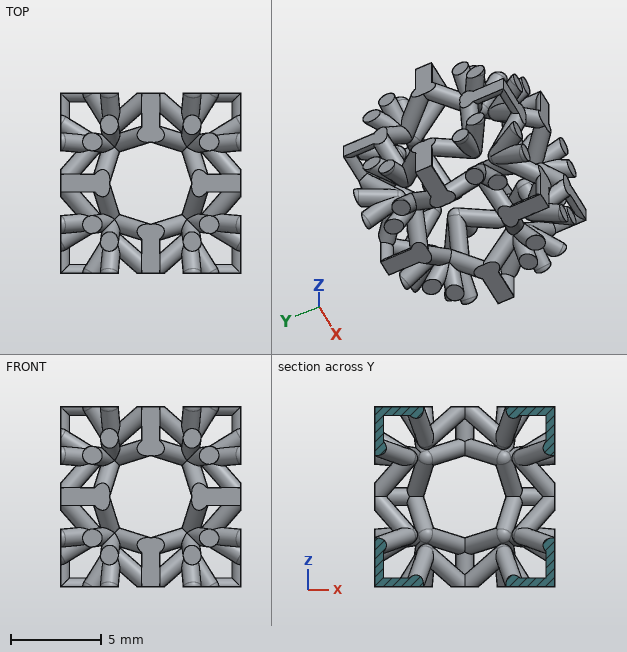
import cadquery as cq

cell_size = 10.0
strut_diameter = 1.0

half_cell = cell_size / 2
strut_radius = strut_diameter / 2

face_joint_offset = 2.80
inner_joint_side = 2.13
inner_joint_height = 3.12
stub_end_near = 2.30
stub_end_far = 3.28

SIGNS = (1, -1)
AXES = (0, 1, 2)
FACE_DIRECTIONS = ((1, 0), (-1, 0), (0, 1), (0, -1))


def ball(center):
    """Round joint of strut size."""
    return cq.Workplane("XY").sphere(strut_radius).translate(center).val()


def strut(start, end):
    """Round bar from one joint to another."""
    start_point = cq.Vector(*start)
    along = cq.Vector(*end) - start_point
    return cq.Solid.makeCylinder(strut_radius, along.Length, start_point, along)


def to_face(normal_axis, point):
    """Turn a point of the +Z face region to the +X (0), +Y (1) or +Z (2) face region."""
    shift = normal_axis + 1
    return tuple(point[(axis - shift) % len(AXES)] for axis in AXES)


def face_bars(normal_axis, side):
    """Bars lying in a face, from the middle of each edge to the joint on the centreline."""
    level = side * half_cell
    solids = []
    for u, v in FACE_DIRECTIONS:
        edge_middle = to_face(normal_axis, (u * half_cell, v * half_cell, level))
        joint = to_face(normal_axis, (u * face_joint_offset, v * face_joint_offset, level))
        solids.append(strut(edge_middle, joint))
        solids.append(ball(joint))
    return solids


def inner_joint_struts(normal_axis, side, u_sign, v_sign):
    """Inner joint with its two struts to face joints and its two stubs to the face."""
    level = side * half_cell
    joint = to_face(
        normal_axis,
        (u_sign * inner_joint_side, v_sign * inner_joint_side, side * inner_joint_height),
    )
    face_joints = [
        (u_sign * face_joint_offset, 0, level),
        (0, v_sign * face_joint_offset, level),
    ]
    stub_ends = [
        (u_sign * stub_end_near, v_sign * stub_end_far, level),
        (u_sign * stub_end_far, v_sign * stub_end_near, level),
    ]
    solids = [ball(joint)]
    for end in face_joints + stub_ends:
        solids.append(strut(joint, to_face(normal_axis, end)))
    for end in stub_ends:
        solids.append(ball(to_face(normal_axis, end)))
    return solids


members = []
for normal_axis in AXES:
    for side in SIGNS:
        members += face_bars(normal_axis, side)
        for u_sign in SIGNS:
            for v_sign in SIGNS:
                members += inner_joint_struts(normal_axis, side, u_sign, v_sign)

lattice = cq.Workplane(members[0].fuse(*members[1:]))
cell = cq.Workplane("XY").box(cell_size, cell_size, cell_size)
result = cell.intersect(lattice)